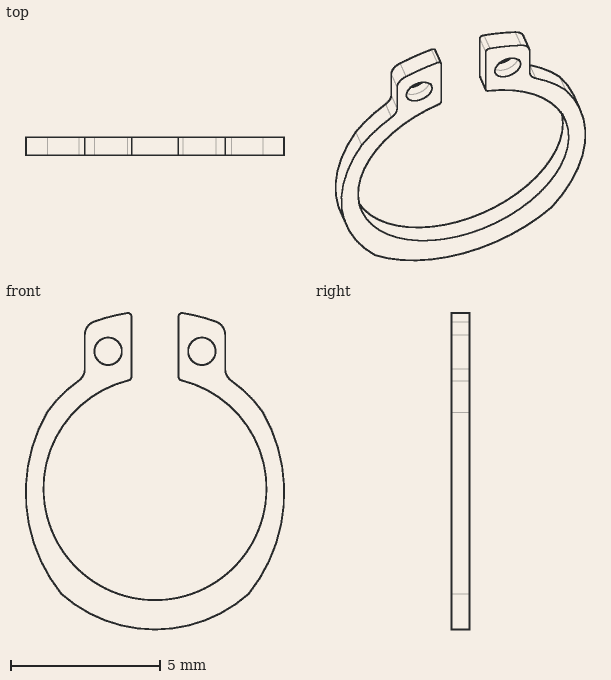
import cadquery as cq
import math

overall_width = 8.67
thickness = 0.6
bore_radius = 3.73
bottom_radius = 4.72
shoulder_radius = 4.43
widest_z = -0.21
shoulder_end_z = 2.57
bottom_end_x = 3.14

half_gap = 0.79
lug_side_x = 2.36
lug_tip_radius = 5.96
hole_x = (half_gap + lug_side_x) / 2
hole_z = 4.6
hole_radius = 0.46
lug_fillet = 0.48
gap_fillet = 0.13


def height_on_circle(radius, x):
    """Positive height of a ring-centred circle at the given x."""
    return math.sqrt(radius**2 - x**2)


def point_at_x(radius, x):
    return (x, height_on_circle(radius, x))


def arc_middle(radius, start, end):
    """Point halfway along a ring-centred arc."""
    angle = (math.atan2(start[1], start[0]) + math.atan2(end[1], end[0])) / 2
    return (radius * math.cos(angle), radius * math.sin(angle))


bore_end = point_at_x(bore_radius, half_gap)
tip_inner = point_at_x(lug_tip_radius, half_gap)
tip_outer = point_at_x(lug_tip_radius, lug_side_x)
lug_foot = point_at_x(shoulder_radius, lug_side_x)
shoulder_end = (height_on_circle(shoulder_radius, shoulder_end_z), shoulder_end_z)
widest_point = (overall_width / 2, widest_z)
bottom_end = (bottom_end_x, -height_on_circle(bottom_radius, bottom_end_x))
bottom_middle = (0, -bottom_radius)
bore_bottom = (0, -bore_radius)


def make_half_ring():
    """Right half, extruded evenly about the XZ plane."""
    return (
        cq.Workplane("XZ")
        .moveTo(*bore_end)
        .lineTo(*tip_inner)
        .threePointArc(arc_middle(lug_tip_radius, tip_inner, tip_outer), tip_outer)
        .lineTo(*lug_foot)
        .threePointArc(arc_middle(shoulder_radius, lug_foot, shoulder_end), shoulder_end)
        .threePointArc(widest_point, bottom_end)
        .threePointArc(arc_middle(bottom_radius, bottom_end, bottom_middle), bottom_middle)
        .lineTo(*bore_bottom)
        .threePointArc(arc_middle(bore_radius, bore_bottom, bore_end), bore_end)
        .close()
        .extrude(thickness / 2, both=True)
    )


def fillet_corner(body, corner, radius):
    """Round the edge along Y that passes through an (x, z) corner."""
    x, z = corner
    edge = cq.selectors.NearestToPointSelector((x, 0, z))
    return body.edges("|Y").edges(edge).fillet(radius)


def cut_plier_hole(body):
    hole = (
        cq.Workplane("XZ")
        .center(hole_x, hole_z)
        .circle(hole_radius)
        .extrude(thickness, both=True)
    )
    return body.cut(hole)


half_ring = make_half_ring()
for corner in (tip_outer, lug_foot):
    half_ring = fillet_corner(half_ring, corner, lug_fillet)
for corner in (bore_end, tip_inner):
    half_ring = fillet_corner(half_ring, corner, gap_fillet)
half_ring = cut_plier_hole(half_ring)

result = half_ring.union(half_ring.mirror("YZ")).clean()